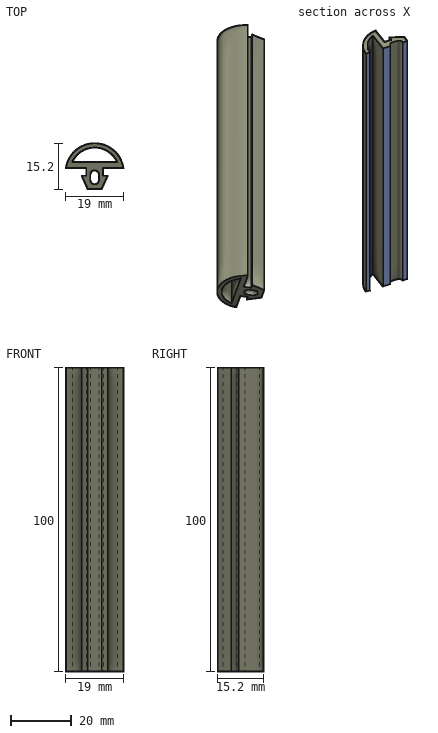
import cadquery as cq
import math

strip_length = 100.0
overall_width = 18.99
overall_depth = 15.17

dome_height = 8.2
dome_wall = 1.5
floor_thickness = 2.0

neck_width = 5.6
neck_length = 2.5
barb_width = 8.65
barb_tip_width = 4.6

bore_width = 2.8
bore_length = 4.5
bore_center_y = -3.05

half_width = overall_width / 2
dome_radius = (half_width**2 + dome_height**2) / (2 * dome_height)
dome_center_y = dome_height - dome_radius
stem_end_y = dome_height - overall_depth


def dome_segment(radius, base_y):
    """Solid circular segment of the dome's circle, above a flat at base_y."""
    half_chord = math.sqrt(radius**2 - (base_y - dome_center_y) ** 2)
    return (
        cq.Workplane("XY")
        .moveTo(-half_chord, base_y)
        .threePointArc((0, dome_center_y + radius), (half_chord, base_y))
        .close()
        .extrude(strip_length)
    )


def barbed_stem():
    """Straight neck that steps out to a tapered barb, rooted in the dome floor."""
    root_y = floor_thickness / 2
    right_side = [
        (neck_width / 2, root_y),
        (neck_width / 2, -neck_length),
        (barb_width / 2, -neck_length),
        (barb_tip_width / 2, stem_end_y),
    ]
    left_side = [(-x, y) for x, y in reversed(right_side)]
    return cq.Workplane("XY").polyline(right_side + left_side).close().extrude(strip_length)


def stem_bore():
    """Round-ended slot running the full length of the stem."""
    return (
        cq.Workplane("XY")
        .center(0, bore_center_y)
        .slot2D(bore_length, bore_width, angle=90)
        .extrude(strip_length)
    )


dome = dome_segment(dome_radius, 0)
dome_cavity = dome_segment(dome_radius - dome_wall, floor_thickness)

result = dome.union(barbed_stem()).cut(dome_cavity).cut(stem_bore())